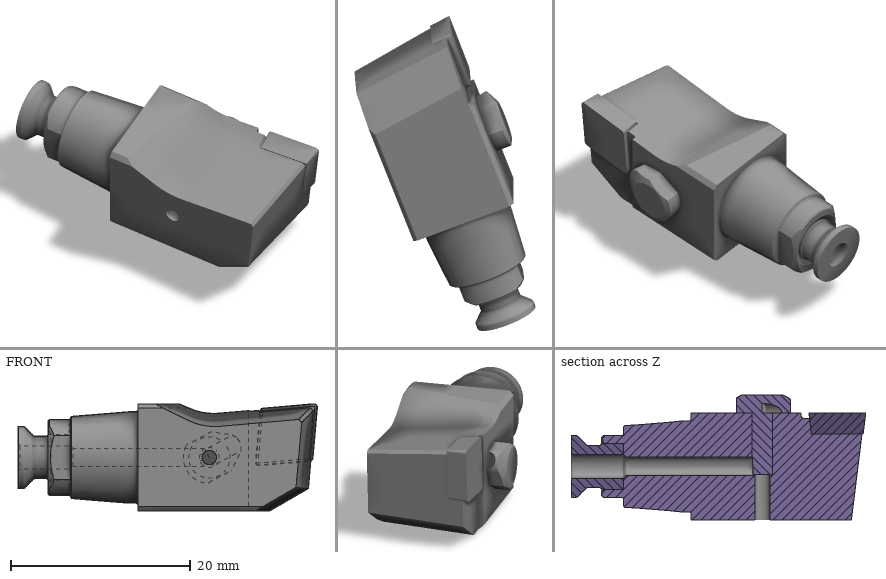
import cadquery as cq
import math


HEAD_SIDE = 12.0
HALF = HEAD_SIDE / 2
TIP_X = 20.05
EDGE_CHAMFER = 0.5
RELIEF = math.radians(7)
EDGE_TILT = math.radians(5)
RAMP_SLOPE = math.radians(26)
HOLLOW_R = 6.68
HOLLOW_END_X = 9.05
HOLLOW_END_Z = 4.95
NOSE_BEVEL = 0.37
HEEL_START_X = 14.73
HEEL_SLOPE = math.radians(30)
HEEL_RELIEF = math.radians(4)
STEP_X = 12.32
STEP_DEPTH = 0.6
STEP_FILLET = 0.3

SHANK_REAR_X = -7.5
TAPER_FRONT_X = -0.97
SHANK_REAR_R = 4.58
SHANK_FRONT_R = 5.1
SHANK_CHAMFER = 0.15
ROOT_FILLET = 0.2
COLLAR_X = -10.02
COLLAR_R = 4.25
COLLAR_CHAMFER = 0.17
COLLAR_FILLET = 0.17
FLAT_HALF = 3.47
FLAT_CONE_R = 6.8
FLAT_CONE_OFFSET = 3.6
MOUTH_R = 3.2
MOUTH_DEPTH = 0.35
COOLANT_R = 1.0

INSERT_EDGE = 6.45
INSERT_THICKNESS = 2.37
INSERT_CORNER_R = 0.4
INSERT_PROUD = 0.15
POCKET_RELIEF_R = 0.35

STUD_REAR_X = -13.35
KNOB_R = 3.47
KNOB_RIM = 0.67
KNOB_RIM_FILLET = 0.27
NECK_R = 2.37
NECK_FILLET = 0.17
STUD_BODY_R = NECK_R + NECK_FILLET
STUD_BORE_R = 1.3
BORE_CHAMFER = 0.2

NOZZLE_X = 7.98
NOZZLE_HEIGHT = 2.0
NOZZLE_R = 2.9
NOZZLE_AIM = 28.0
NOZZLE_HALF_WIDTH = 2.45
NOZZLE_SHOULDER = 1.5
NOZZLE_TIP_R = 1.5
NOZZLE_TIP_CENTRE = 2.3
NOZZLE_CROWN_R = 2.3
NOZZLE_CONE_SLOPE = math.radians(28)
JET_R = 1.0
PIN_R = 1.1
PIN_END_Y = -0.95
ACCESS_R = 0.8

MARGIN = 3.35
DIAGONAL = math.sqrt(0.5)


def revolved(profile):
    """Turn a closed (X, radius) profile around the tool axis."""
    return profile.revolve(360, (0, 0, 0), (1, 0, 0))


def ring_at(x):
    """Selector for the only circular edge around the tool axis at X."""
    return cq.NearestToPointSelector((x, 0, 0))


def leaning_prism(outline, lean_x, lean_z, depth=HEAD_SIDE):
    """Sweep an XZ outline on the +Y face towards -Y, shifting it sideways on the way."""
    face = cq.Face.makeFromWires(outline.wire().val())
    prism = cq.Solid.extrudeLinear(face, cq.Vector(lean_x, -depth, lean_z))
    return cq.Workplane(prism)


def head_plane(y=HALF):
    """XZ workplane whose local axes are global X and Z and whose normal is -Y."""
    return cq.Workplane("XZ", origin=(0, y, 0))


TIP_HALF_ANGLE = math.pi / 4 - EDGE_TILT
TIP_SETBACK = INSERT_CORNER_R / math.sin(TIP_HALF_ANGLE) * DIAGONAL
CORNER_X = TIP_X - INSERT_CORNER_R + TIP_SETBACK
CORNER_Z = HALF - INSERT_CORNER_R + TIP_SETBACK
TOP_EDGE = (-math.cos(EDGE_TILT), -math.sin(EDGE_TILT))
FRONT_EDGE = (-math.sin(EDGE_TILT), -math.cos(EDGE_TILT))


def along(start, direction, length):
    """Point at a distance from a start point along a unit direction, in the XZ plane."""
    return (start[0] + direction[0] * length, start[1] + direction[1] * length)


INSERT_CORNER = (CORNER_X, CORNER_Z)
INSERT_REAR = along(INSERT_CORNER, TOP_EDGE, INSERT_EDGE)


def make_insert():
    """Rhombic insert with rounded corners, its flanks drawn in below the rake face."""
    bottom = along(INSERT_CORNER, FRONT_EDGE, INSERT_EDGE)
    inner = along(INSERT_REAR, FRONT_EDGE, INSERT_EDGE)
    rhombus = (
        cq.Sketch()
        .polygon([INSERT_CORNER, INSERT_REAR, inner, bottom, INSERT_CORNER])
        .vertices()
        .fillet(INSERT_CORNER_R)
    )
    return head_plane().placeSketch(rhombus).extrude(INSERT_THICKNESS, taper=math.degrees(RELIEF))


def pocket_relief():
    """Round clearance at the insert's rear corner, leaning with its flanks."""
    rear_half_angle = math.pi / 2 - TIP_HALF_ANGLE
    inset = INSERT_THICKNESS * math.tan(RELIEF) / math.sin(rear_half_angle)
    outline = head_plane().center(*INSERT_REAR).circle(POCKET_RELIEF_R)
    shift = inset * DIAGONAL
    return leaning_prism(outline, shift, -shift, INSERT_THICKNESS)


def wrench_flat(side):
    """Cutter for one wrench flat with its conical lead-in; side is +1 or -1 along Y."""
    flat_length = SHANK_REAR_X - COLLAR_X
    width = 2 * COLLAR_R
    slab = (
        cq.Workplane("XY")
        .box(flat_length, COLLAR_R, width, centered=(False, False, True))
        .translate((COLLAR_X, FLAT_HALF, 0))
    )
    cone = cq.Workplane(
        cq.Solid.makeCone(
            FLAT_CONE_R, FLAT_CONE_R + flat_length, flat_length,
            cq.Vector(COLLAR_X, -FLAT_CONE_OFFSET, 0), cq.Vector(1, 0, 0),
        )
    )
    lead_in = (
        cq.Workplane("XY")
        .box(flat_length, COLLAR_R, 2 * width, centered=(False, False, True))
        .translate((COLLAR_X, 0, 0))
        .cut(cone)
    )
    cutter = slab.union(lead_in)
    return cutter if side > 0 else cutter.mirror("XZ")


def make_collar():
    """Round collar with two wrench flats, reaching from its rear face to the taper."""
    length = SHANK_REAR_X - COLLAR_X
    collar = cq.Workplane("YZ", origin=(COLLAR_X, 0, 0)).circle(COLLAR_R).extrude(length)
    collar = collar.faces("<X").chamfer(COLLAR_CHAMFER)
    for side in (1, -1):
        collar = collar.cut(wrench_flat(side))
    return collar


def make_shank():
    """Tapered shank with a filleted root, and the wrench collar standing on its rear face."""
    root_r = SHANK_FRONT_R + ROOT_FILLET
    fillet_mid = ROOT_FILLET * (1 - DIAGONAL)
    profile = (
        cq.Workplane("XZ")
        .moveTo(SHANK_REAR_X, 0)
        .lineTo(SHANK_REAR_X, SHANK_REAR_R)
        .lineTo(TAPER_FRONT_X, SHANK_FRONT_R)
        .lineTo(-ROOT_FILLET, SHANK_FRONT_R)
        .threePointArc((-fillet_mid, SHANK_FRONT_R + fillet_mid), (0, root_r))
        .lineTo(0, 0)
        .close()
    )
    taper = revolved(profile).faces("<X").chamfer(SHANK_CHAMFER)
    shank = taper.union(make_collar())
    half_depth = SHANK_CHAMFER / 2
    half_width = COLLAR_R + SHANK_CHAMFER / 4
    foot_edges = cq.selectors.BoxSelector(
        (SHANK_REAR_X - half_depth, -half_width, -half_width),
        (SHANK_REAR_X + half_depth, half_width, half_width),
        boundingbox=True,
    )
    return shank.edges(foot_edges).fillet(COLLAR_FILLET)


def top_cutter():
    """Ramp, hollow and rising flank on the head top, leaning down towards -Y."""
    centre_x = HOLLOW_END_X - HOLLOW_R * math.sin(EDGE_TILT)
    centre_z = HOLLOW_END_Z + HOLLOW_R * math.cos(EDGE_TILT)
    start_x = centre_x - HOLLOW_R * math.sin(RAMP_SLOPE)
    start_z = centre_z - HOLLOW_R * math.cos(RAMP_SLOPE)
    ceiling = HALF + HEAD_SIDE
    ramp_x = start_x - (ceiling - start_z) / math.tan(RAMP_SLOPE)
    end_x = TIP_X + MARGIN
    end_z = HOLLOW_END_Z + (end_x - HOLLOW_END_X) * math.tan(EDGE_TILT)
    outline = (
        head_plane()
        .moveTo(ramp_x, ceiling)
        .lineTo(start_x, start_z)
        .threePointArc((centre_x, centre_z - HOLLOW_R), (HOLLOW_END_X, HOLLOW_END_Z))
        .lineTo(end_x, end_z)
        .lineTo(end_x, ceiling)
        .close()
    )
    drop = HEAD_SIDE * math.tan(RELIEF)
    return leaning_prism(outline, drop * math.sin(EDGE_TILT), -drop * math.cos(EDGE_TILT))


def front_cutter():
    """Front flank and the bevel behind the tip, both leaning back towards -Y."""
    inset = INSERT_PROUD / math.sin(TIP_HALF_ANGLE) * DIAGONAL
    corner = (CORNER_X - inset, CORNER_Z - inset)
    bevel_top = along(corner, TOP_EDGE, NOSE_BEVEL)
    bevel_front = along(corner, FRONT_EDGE, NOSE_BEVEL)
    lift = HEAD_SIDE / 2
    outline = head_plane().polyline([
        (bevel_top[0] - lift, bevel_top[1] + lift),
        bevel_front,
        along(bevel_front, FRONT_EDGE, HEAD_SIDE + MARGIN),
        (TIP_X + MARGIN, -HALF - MARGIN),
        (TIP_X + MARGIN, bevel_top[1] + lift),
    ]).close()
    setback = HEAD_SIDE * math.tan(RELIEF) / math.sin(TIP_HALF_ANGLE) * DIAGONAL
    return leaning_prism(outline, -setback, -setback)


def heel_cutter():
    """Sloped clearance at the lower front corner, leaning inwards towards -Y."""
    run = TIP_X + MARGIN - HEEL_START_X
    rise = math.tan(HEEL_SLOPE)
    outline = head_plane().polyline([
        (HEEL_START_X - run, -HALF - run * rise),
        (HEEL_START_X + run, -HALF + run * rise),
        (HEEL_START_X + run, -HALF - run * rise),
    ]).close()
    shift = HEAD_SIDE * math.tan(HEEL_RELIEF)
    return leaning_prism(outline, -shift * math.sin(HEEL_SLOPE), shift * math.cos(HEEL_SLOPE))


def step_cutter():
    """Recess of the +Y face around the insert, with a rounded foot."""
    length = TIP_X + MARGIN - STEP_X
    block = cq.Workplane("XY").box(length, 2 * STEP_DEPTH, HEAD_SIDE + MARGIN)
    return block.edges("|Z and <X and <Y").fillet(STEP_FILLET).translate((STEP_X + length / 2, HALF, 0))


def shank_bore():
    """Countersunk seat of the pull stud, then the coolant passage with its conical mouth."""
    profile = cq.Workplane("XZ").polyline([
        (COLLAR_X, 0),
        (COLLAR_X, MOUTH_R),
        (COLLAR_X + MOUTH_DEPTH, STUD_BODY_R),
        (SHANK_REAR_X, STUD_BODY_R),
        (SHANK_REAR_X, STUD_BORE_R),
        (SHANK_REAR_X + STUD_BORE_R - COOLANT_R, COOLANT_R),
        (NOZZLE_X, COOLANT_R),
        (NOZZLE_X, 0),
    ]).close()
    return revolved(profile)


def nozzle_pin():
    """Pin of the coolant nozzle, from the +Y face across the coolant passage."""
    return head_plane().center(NOZZLE_X, 0).circle(PIN_R).extrude(HALF - PIN_END_Y)


def make_holder(insert):
    """Square head with its shank, bored for the stud and nozzle and pocketed for the insert."""
    head = cq.Workplane("XY").box(TIP_X, HEAD_SIDE, HEAD_SIDE, centered=(False, True, True))
    head = head.edges("|X").chamfer(EDGE_CHAMFER)
    for cutter in (top_cutter(), front_cutter(), heel_cutter(), step_cutter()):
        head = head.cut(cutter)
    access = head_plane(PIN_END_Y).center(NOZZLE_X, 0).circle(ACCESS_R).extrude(HALF + PIN_END_Y)
    holder = head.union(make_shank())
    for cutter in (shank_bore(), nozzle_pin(), access, pocket_relief(), insert):
        holder = holder.cut(cutter)
    return holder


def make_pull_stud():
    """Hollow stud: knob, neck and the part seated in the collar."""
    cone_x = STUD_REAR_X + KNOB_RIM
    neck_x = cone_x + KNOB_R - NECK_R
    fillet_drop = NECK_FILLET * DIAGONAL
    fillet_mid = (COLLAR_X - NECK_FILLET + fillet_drop, STUD_BODY_R - fillet_drop)
    profile = (
        cq.Workplane("XZ")
        .moveTo(STUD_REAR_X, STUD_BORE_R + BORE_CHAMFER)
        .lineTo(STUD_REAR_X, KNOB_R)
        .lineTo(cone_x, KNOB_R)
        .lineTo(neck_x, NECK_R)
        .lineTo(COLLAR_X - NECK_FILLET, NECK_R)
        .threePointArc(fillet_mid, (COLLAR_X, STUD_BODY_R))
        .lineTo(SHANK_REAR_X, STUD_BODY_R)
        .lineTo(SHANK_REAR_X, STUD_BORE_R)
        .lineTo(STUD_REAR_X + BORE_CHAMFER, STUD_BORE_R)
        .close()
    )
    stud = revolved(profile)
    stud = stud.edges(ring_at(cone_x)).fillet(KNOB_RIM_FILLET)
    return stud.edges(ring_at(neck_x)).fillet(NECK_FILLET)


def make_nozzle():
    """Coolant nozzle: pin in the holder and an aimed head on the +Y face."""
    back = -math.sqrt(NOZZLE_R**2 - NOZZLE_HALF_WIDTH**2)
    reach = math.hypot(NOZZLE_TIP_CENTRE - NOZZLE_SHOULDER, NOZZLE_HALF_WIDTH)
    tangent = (
        math.atan2(NOZZLE_HALF_WIDTH, NOZZLE_SHOULDER - NOZZLE_TIP_CENTRE)
        - math.acos(NOZZLE_TIP_R / reach)
    )
    tip_x = NOZZLE_TIP_CENTRE + NOZZLE_TIP_R * math.cos(tangent)
    tip_y = NOZZLE_TIP_R * math.sin(tangent)
    head = (
        head_plane(0)
        .moveTo(back, -NOZZLE_HALF_WIDTH)
        .threePointArc((-NOZZLE_R, 0), (back, NOZZLE_HALF_WIDTH))
        .lineTo(NOZZLE_SHOULDER, NOZZLE_HALF_WIDTH)
        .lineTo(tip_x, tip_y)
        .threePointArc((NOZZLE_TIP_CENTRE + NOZZLE_TIP_R, 0), (tip_x, -tip_y))
        .lineTo(NOZZLE_SHOULDER, -NOZZLE_HALF_WIDTH)
        .close()
        .extrude(-NOZZLE_HEIGHT)
    )
    cone_r = NOZZLE_CROWN_R + NOZZLE_HEIGHT / math.tan(NOZZLE_CONE_SLOPE)
    crown = cq.Solid.makeCone(
        cone_r, NOZZLE_CROWN_R, NOZZLE_HEIGHT, cq.Vector(0, 0, 0), cq.Vector(0, 1, 0)
    )
    jet = cq.Workplane("YZ").circle(JET_R).extrude(NOZZLE_TIP_CENTRE + NOZZLE_TIP_R)
    head = head.intersect(cq.Workplane(crown)).cut(jet)
    head = head.rotate((0, 0, 0), (0, 1, 0), -NOZZLE_AIM).translate((NOZZLE_X, HALF, 0))
    return head.union(nozzle_pin())


insert = make_insert()
holder = make_holder(insert)
pull_stud = make_pull_stud()
nozzle = make_nozzle()

result = cq.Compound.makeCompound([
    holder.solids().val(),
    pull_stud.solids().val(),
    insert.solids().val(),
    nozzle.solids().val(),
])